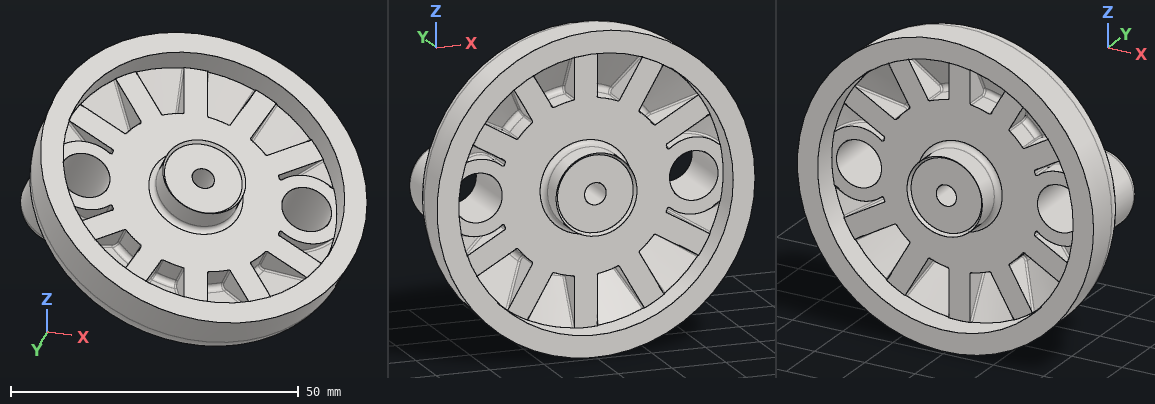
import cadquery as cq
import math


hub_front_y = -9.4
rim_front_y = -9.15
web_front_y = -4.15
round_start_y = -2.25
round_end_y = 1.95
seat_y = 8.8
flange_back_y = 9.45

rim_radius = 29.5
rim_taper = 0.25
rim_inner_radius = 25.4
round_end_radius = 27.1
dome_mid_radius = 21.7
dome_mid_y = 4.8
seat_radius = 11.3

pocket_inner_radius = 16.05
pocket_rim_y = -3.9
pocket_deep_y = 1.6
pocket_floor_fillet = 0.9
rib_count = 12
rib_width = 4.25
rib_root_fillet = 0.3
position_tolerance = 0.05

hole_offset = 20.0
hole_radius = 4.5
hole_boss_radius = 6.95
lobe_offset = 20.95
lobe_radius = 7.55
lobe_middle_radius = 9.25
lobe_edge_fillet = 1.95

hub_radius = 7.5
hub_fillet = 1.0
hub_recess_radius = 7.0
hub_recess_depth = 0.6
flange_radius = 11.1
flange_taper = 0.4
bore_radius = 2.0


def revolve_about_y(profile):
    """Turn a closed profile drawn in the XY plane, with X as radius, about the Y axis."""
    return profile.close().revolve(360, (0, 0, 0), (0, 1, 0))


def cylinder_y(radius, start_y, end_y, x=0.0):
    """Cylinder parallel to the Y axis between two Y positions."""
    plane = cq.Plane(origin=(x, start_y, 0), xDir=(1, 0, 0), normal=(0, 1, 0))
    return cq.Workplane(plane).circle(radius).extrude(end_y - start_y)


def domed_disc():
    """Solid disc with a tapered rim, a rounded shoulder and a domed back, hollow in front of the web."""
    return revolve_about_y(
        cq.Workplane("XY")
        .moveTo(0, web_front_y)
        .lineTo(rim_inner_radius, web_front_y)
        .lineTo(rim_inner_radius, rim_front_y)
        .lineTo(rim_radius, rim_front_y)
        .lineTo(rim_radius - rim_taper, round_start_y)
        .tangentArcPoint((round_end_radius, round_end_y), relative=False)
        .threePointArc((dome_mid_radius, dome_mid_y), (seat_radius, seat_y))
        .lineTo(0, seat_y)
    )


def lobes():
    """Bar with two round ends that narrows from the axis to the ends, rounded along its back edge."""
    lean = math.asin((lobe_middle_radius - lobe_radius) / lobe_offset)
    tangent_x = lobe_offset + lobe_radius * math.sin(lean)
    tangent_z = lobe_radius * math.cos(lean)
    middle_z = lobe_middle_radius / math.cos(lean)
    end_x = lobe_offset + lobe_radius
    back = cq.Plane(origin=(0, round_start_y, 0), xDir=(1, 0, 0), normal=(0, -1, 0))
    bar = (
        cq.Workplane(back)
        .moveTo(0, middle_z)
        .lineTo(tangent_x, tangent_z)
        .threePointArc((end_x, 0), (tangent_x, -tangent_z))
        .lineTo(0, -middle_z)
        .lineTo(-tangent_x, -tangent_z)
        .threePointArc((-end_x, 0), (-tangent_x, tangent_z))
        .close()
        .extrude(round_start_y - seat_y)
    )
    return bar.faces(">Y").edges().fillet(lobe_edge_fillet)


def is_floor_side(edge):
    """True for an edge where a sloped pocket floor meets a rib or a hole boss."""
    box = edge.BoundingBox()
    starts_at_rim = abs(box.ymin - pocket_rim_y) < position_tolerance
    runs_inward = box.ylen > pocket_floor_fillet
    return starts_at_rim and runs_inward


def pockets():
    """Hollow ring with a conical floor, split by the ribs and kept clear of the hole bosses."""
    ring = revolve_about_y(
        cq.Workplane("XY")
        .moveTo(pocket_inner_radius, web_front_y)
        .lineTo(rim_inner_radius, web_front_y)
        .lineTo(rim_inner_radius, pocket_rim_y)
        .lineTo(pocket_inner_radius, pocket_deep_y)
    )
    inner_edges = ring.edges(cq.selectors.RadiusNthSelector(0))
    ring = inner_edges.edges(">Y").fillet(pocket_floor_fillet)
    for index in range(rib_count // 2):
        rib = cq.Workplane("XY").box(2 * rim_radius, 2 * rim_radius, rib_width)
        ring = ring.cut(rib.rotate((0, 0, 0), (0, 1, 0), index * 360 / rib_count))
    for side in (-1, 1):
        ring = ring.cut(cylinder_y(hole_boss_radius, web_front_y, seat_y, side * hole_offset))
    return ring.edges().filter(is_floor_side).fillet(rib_root_fillet)


def make_wheel():
    """Wheel with ribs and lobes, bored through the middle for the insert."""
    wheel = domed_disc().union(lobes()).cut(pockets())
    for side in (-1, 1):
        wheel = wheel.cut(cylinder_y(hole_radius, rim_front_y, seat_y, side * hole_offset))
    return wheel.cut(cylinder_y(hub_radius, rim_front_y, seat_y))


def make_insert():
    """Bored hub with a recessed front, a fillet against the web and a tapered flange on the back."""
    fillet_end = web_front_y - hub_fillet
    corner = hub_fillet * (1 - math.sqrt(0.5))
    return revolve_about_y(
        cq.Workplane("XY")
        .moveTo(bore_radius, hub_front_y + hub_recess_depth)
        .lineTo(hub_recess_radius, hub_front_y + hub_recess_depth)
        .lineTo(hub_radius, hub_front_y)
        .lineTo(hub_radius, fillet_end)
        .threePointArc((hub_radius + corner, web_front_y - corner), (hub_radius + hub_fillet, web_front_y))
        .lineTo(hub_radius, web_front_y)
        .lineTo(hub_radius, seat_y)
        .lineTo(flange_radius, seat_y)
        .lineTo(flange_radius - flange_taper, flange_back_y)
        .lineTo(bore_radius, flange_back_y)
    )


wheel = make_wheel()
insert = make_insert()
result = cq.Compound.makeCompound([wheel.val(), insert.val()])